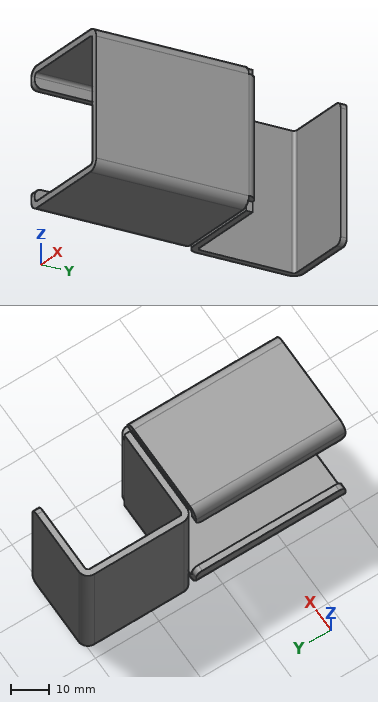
import cadquery as cq

width = 33.0
length = 82.0
height = 41.0

sheet = 2.0
inner_radius = 1.0
outer_radius = inner_radius + sheet
corner_radius = 2.0

channel_length = 47.0
lip_height = 6.0
hook_flange_width = 25.0
hook_start = channel_length + inner_radius
hook_depth = length - hook_start

margin = 0.8


def hollow_section(plane, size_u, size_v, depth):
    """Closed tube of folded sheet, with its lower left corner at the plane's origin."""
    outside = cq.Workplane(plane).rect(size_u, size_v, centered=False).extrude(depth)
    inside = (
        cq.Workplane(plane)
        .center(sheet, sheet)
        .rect(size_u - 2 * sheet, size_v - 2 * sheet, centered=False)
        .extrude(depth)
    )
    axis = "|Y" if plane == "XZ" else "|Z"
    return outside.edges(axis).fillet(outer_radius).cut(inside.edges(axis).fillet(inner_radius))


def make_channel():
    """C-shaped channel along Y, with two lips on its open -X side."""
    tube = hollow_section("XZ", width, height, -channel_length)
    opening = (
        cq.Workplane("XY")
        .box(sheet, channel_length, height - 2 * lip_height, centered=False)
        .translate((0, 0, lip_height))
    )
    channel = tube.cut(opening)
    lip_corners = cq.selectors.BoxSelector(
        (-margin, -margin, lip_height - margin),
        (sheet + margin, length, height - lip_height + margin),
    )
    return channel.edges("|X").edges(lip_corners).fillet(corner_radius)


def make_hook():
    """U-shaped hook, open towards +X, standing the full height behind the channel."""
    tube = hollow_section("XY", width + outer_radius, hook_depth, height).translate((0, hook_start, 0))
    far_flange_cut = (
        cq.Workplane("XY")
        .box(width, hook_depth, height, centered=False)
        .translate((hook_flange_width, hook_start + sheet, 0))
    )
    near_flange_cut = (
        cq.Workplane("XY")
        .box(width, hook_depth, height, centered=False)
        .translate((width - outer_radius, hook_start, 0))
    )
    hook = tube.cut(far_flange_cut).cut(near_flange_cut)
    flange_corners = cq.selectors.BoxSelector(
        (hook_flange_width - margin, length - sheet - margin, -margin),
        (hook_flange_width + margin, length + margin, height + margin),
    )
    return hook.edges("|Y").edges(flange_corners).fillet(corner_radius)


def make_joining_bend():
    """Quarter bend from the channel's +X wall to the hook, clear of the channel's own bends."""
    return (
        cq.Workplane("XY", origin=(width - outer_radius, channel_length, outer_radius))
        .moveTo(inner_radius, 0)
        .lineTo(outer_radius, 0)
        .radiusArc((0, outer_radius), -outer_radius)
        .lineTo(0, inner_radius)
        .radiusArc((inner_radius, 0), inner_radius)
        .close()
        .extrude(height - 2 * outer_radius)
    )


result = make_channel().union(make_joining_bend()).union(make_hook())